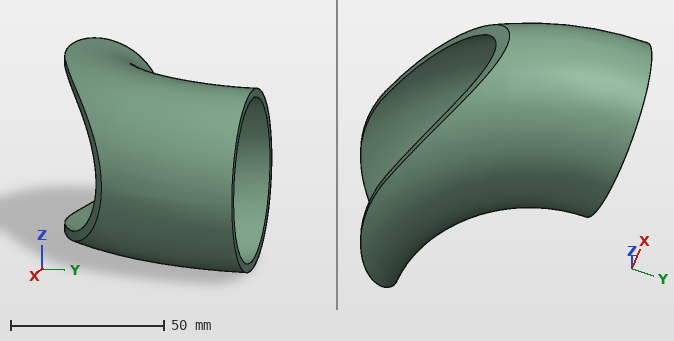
import cadquery as cq

pipe_diameter = 60.3
wall = 2.9
bend_radius = 76.0
saddle_end_y = -46.9

outer_radius = pipe_diameter / 2
inner_radius = outer_radius - wall
crotch_radius = bend_radius - outer_radius
back_radius = bend_radius + outer_radius


def elbow():
    """Pipe bent a quarter turn around Z, from the +X axis to the -Y axis."""
    section = cq.Workplane("XZ").center(bend_radius, 0).circle(outer_radius).circle(inner_radius)
    axis_top = (-bend_radius, 1.1)
    axis_bottom = (-bend_radius, -1.1)
    return section.revolve(90, axis_top, axis_bottom)


def mitre_point(x):
    """Point midway between the bend centreline and a straight run along y = -bend_radius."""
    return (x, x**2 / (4 * bend_radius) - bend_radius)


def kept_region():
    """Block on the elbow side of the saddle cut: a mitre parabola, then an arc tangent to it."""
    seam = mitre_point(crotch_radius)
    parabola_end = mitre_point(back_radius)

    middle_pole = (
        (crotch_radius + back_radius) / 2,
        crotch_radius * back_radius / (4 * bend_radius) - bend_radius,
    )
    outline = (
        cq.Workplane("XY")
        .lineTo(back_radius, 0)
        .lineTo(*parabola_end)
        .bezier([parabola_end, middle_pole, seam])
        .tangentArcPoint((0, saddle_end_y), relative=False)
        .close()
    )
    return outline.extrude(pipe_diameter, both=True)


result = elbow().intersect(kept_region())